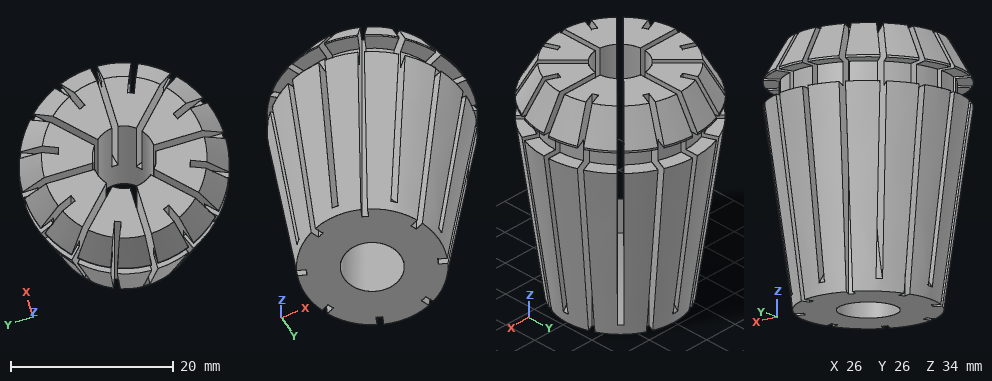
import cadquery as cq
import math


height = 34.0
max_radius = 13.0
bore_radius = 3.95

body_taper = math.radians(8.0)
body_top = 25.87
body_bottom_radius = max_radius - body_top * math.tan(body_taper)

neck_radius = 10.98
head_bottom = 28.9
head_top_radius = 10.2
head_taper = math.radians(30.0)
head_taper_height = (max_radius - head_top_radius) / math.tan(head_taper)
head_rim_top = height - head_taper_height

slots_per_set = 8
slot_width = 0.8
slot_pitch = 360.0 / slots_per_set
slot_reach = max_radius + 0.35
floor_low = 1.53
floor_high = 11.4
saw_radius = 34.0
short_slot_inner_radius = 8.15


def make_blank():
    """Revolve the solid outer shape: taper, groove and conical head."""
    return (
        cq.Workplane("XZ")
        .lineTo(body_bottom_radius, 0)
        .lineTo(max_radius, body_top)
        .lineTo(neck_radius, body_top)
        .lineTo(neck_radius, head_bottom)
        .lineTo(max_radius, head_bottom)
        .lineTo(max_radius, head_rim_top)
        .lineTo(head_top_radius, height)
        .lineTo(0, height)
        .close()
        .revolve(360, (0, 0, 0), (0, 1, 0))
    )


def main_slot():
    """Cutter along +X, open at the top, with a saw-cut floor rising towards the bore."""
    floor_outer_radius = body_bottom_radius + floor_low * math.tan(body_taper)
    run = floor_outer_radius - bore_radius
    rise = floor_high - floor_low
    chord = math.hypot(run, rise)
    sagitta = saw_radius - math.sqrt(saw_radius**2 - (chord / 2) ** 2)

    floor_middle = (
        (floor_outer_radius + bore_radius) / 2 - sagitta * rise / chord,
        (floor_low + floor_high) / 2 - sagitta * run / chord,
    )
    return (
        cq.Workplane("XZ")
        .moveTo(0, height)
        .lineTo(0, floor_high)
        .lineTo(bore_radius, floor_high)
        .threePointArc(floor_middle, (floor_outer_radius, floor_low))
        .lineTo(slot_reach, floor_low)
        .lineTo(slot_reach, height)
        .close()
        .extrude(slot_width / 2, both=True)
    )


def short_slot():
    """Full-height cutter along +X that stops short of the bore."""
    slot_length = slot_reach - short_slot_inner_radius
    return (
        cq.Workplane("XY")
        .center(short_slot_inner_radius + slot_length / 2, 0)
        .rect(slot_length, slot_width)
        .extrude(height)
    )


result = make_blank()
result = result.cut(cq.Workplane("XY").circle(bore_radius).extrude(height))

for index in range(slots_per_set):
    angle = index * slot_pitch
    result = result.cut(main_slot().rotate((0, 0, 0), (0, 0, 1), angle))
    result = result.cut(short_slot().rotate((0, 0, 0), (0, 0, 1), angle + slot_pitch / 2))